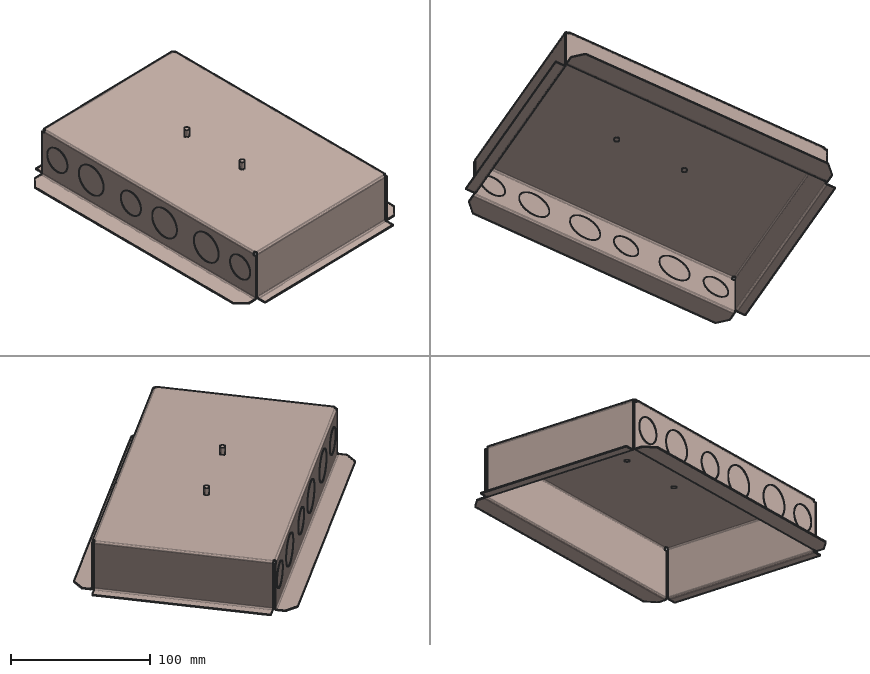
import cadquery as cq
import math

TOTAL_X = 230.0
TOTAL_Y = 164.0
TOTAL_Z = 47.0

COVER_X = 214.8
COVER_Y = 134.8
COVER_Z = 41.0
SHEET = 0.8
BEND_INNER = 0.8
BEND_OUTER = BEND_INNER + SHEET
LID_UNDERSIDE = COVER_Z - SHEET
END_LENGTH = 130.9
FLANGE_CHAMFER = 7.5
NOTCH = 2.3

KNOCKOUT_Z = 21.0
KNOCKOUT_DEPTH = 0.35
SMALL_DIAMETER = 20.2
LARGE_DIAMETER = 24.8
SMALL_POSITIONS = (-91.8, -18.0, 91.8)
LARGE_POSITIONS = (-57.7, 15.9, 57.7)

STUD_DIAMETER = 4.0
STUD_SPACING = 55.7
STUD_POSITIONS = (-STUD_SPACING / 2, STUD_SPACING / 2)


def folded_side(wall_face, flange_edge, length):
    """Wall on the +X side with its lid bend and outward flange, centred along Y."""
    diagonal = math.sin(math.radians(45))
    lid_edge = wall_face - BEND_OUTER
    lid_center = (lid_edge, COVER_Z - BEND_OUTER)
    foot_edge = wall_face + BEND_INNER
    foot_center = (foot_edge, BEND_OUTER)

    def on_lid_bend(radius):
        return (lid_center[0] + radius * diagonal, lid_center[1] + radius * diagonal)

    def on_foot_bend(radius):
        return (foot_center[0] - radius * diagonal, foot_center[1] - radius * diagonal)

    return (
        cq.Workplane("XZ")
        .moveTo(lid_edge, COVER_Z)
        .threePointArc(on_lid_bend(BEND_OUTER), (wall_face, lid_center[1]))
        .lineTo(wall_face, BEND_OUTER)
        .threePointArc(on_foot_bend(BEND_INNER), (foot_edge, SHEET))
        .lineTo(flange_edge, SHEET)
        .lineTo(flange_edge, 0)
        .lineTo(foot_edge, 0)
        .threePointArc(on_foot_bend(BEND_OUTER), (wall_face - SHEET, BEND_OUTER))
        .lineTo(wall_face - SHEET, lid_center[1])
        .threePointArc(on_lid_bend(BEND_INNER), (lid_edge, LID_UNDERSIDE))
        .close()
        .extrude(length / 2, both=True)
    )


def end_side():
    """Short wall at the +X end."""
    return folded_side(COVER_X / 2, TOTAL_X / 2, END_LENGTH)


def long_side():
    """Long wall, still facing +X, with chamfered flange corners and notched top corners."""
    side = folded_side(COVER_Y / 2, TOTAL_Y / 2, COVER_X)
    side = side.edges("|Z and >X").chamfer(FLANGE_CHAMFER)
    notches = (
        cq.Workplane("XY")
        .workplane(offset=COVER_Z)
        .pushPoints([(COVER_Y / 2, -COVER_X / 2), (COVER_Y / 2, COVER_X / 2)])
        .rect(2 * NOTCH, 2 * NOTCH)
        .extrude(-NOTCH)
    )
    return side.cut(notches)


def lid():
    """Flat top sheet between the four bends."""
    return (
        cq.Workplane("XY")
        .workplane(offset=LID_UNDERSIDE)
        .rect(COVER_X - 2 * BEND_OUTER, COVER_Y - 2 * BEND_OUTER)
        .extrude(SHEET)
    )


def knockouts(positions, diameter):
    """Row of shallow round recesses in the -Y wall."""
    return (
        cq.Workplane("XZ", origin=(0, -COVER_Y / 2, KNOCKOUT_Z))
        .pushPoints([(x, 0) for x in positions])
        .circle(diameter / 2)
        .extrude(-KNOCKOUT_DEPTH)
    )


def stud(x):
    """Plain round stud from the lid's underside to the full height."""
    return (
        cq.Workplane("XY", origin=(x, 0, LID_UNDERSIDE))
        .circle(STUD_DIAMETER / 2)
        .extrude(TOTAL_Z - LID_UNDERSIDE)
    )


def cover():
    """One folded sheet with its knockouts and the holes that hold the studs."""
    body = lid()
    for angle in (0, 180):
        body = body.union(end_side().rotate((0, 0, 0), (0, 0, 1), angle))
        body = body.union(long_side().rotate((0, 0, 0), (0, 0, 1), angle + 90))
    body = body.cut(knockouts(SMALL_POSITIONS, SMALL_DIAMETER))
    body = body.cut(knockouts(LARGE_POSITIONS, LARGE_DIAMETER))
    for x in STUD_POSITIONS:
        body = body.cut(stud(x))
    return body


housing = cover().solids()
studs = [stud(x).val() for x in STUD_POSITIONS]

result = cq.Compound.makeCompound([housing.val(), *studs])